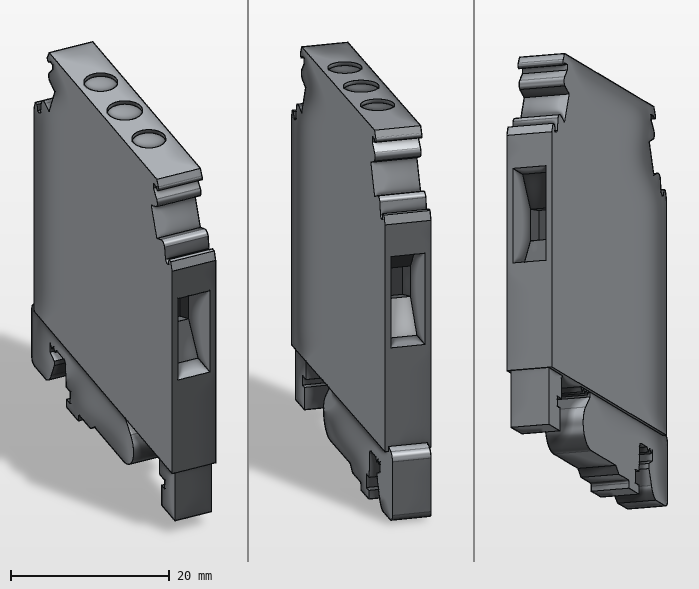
import cadquery as cq
import math


housing_width = 41.6
housing_thick = 6.05
housing_height = 41.5
half_width = housing_width / 2
shoulder_z = 30.4

foot_thick = 5.1
foot_overhang = 1.7
foot_left = -half_width - foot_overhang
foot_depth = 9.4
hook_depth = 8.9
hook_corner = 0.9
foot_root = 0.65
gap_roof_z = -2.7
gap_tooth_z = -3.25
lobe_radius = 3.05
lobe_x = 5.1
lobe_z = -4.45
lobe_neck_z = -0.6
tooth_count = 3
first_tooth_x = 6.05
tooth_width = 0.95
tooth_height = 0.55

post_inset = 0.2
post_right = half_width - post_inset
post_depth = 7.35

screw_pitch = 7.25
middle_screw_diameter = 4.5
outer_screw_diameter = 4.3
screw_recess_depth = 0.5

entry_width = 4.45
entry_bottom = 13.85
entry_height = 12.2
entry_straight_depth = 3.55
ramp_depth = 2.85
throat_height = 4.05
throat_width = 2.95
throat_taper_depth = 1.0
throat_rise = 0.15


def extrude_mid(profile, thickness):
    """Extrude an XZ outline equally to both sides of the mid-plane."""
    return profile.extrude(thickness / 2, both=True)


def housing():
    """Housing plate: its right-hand edge, with the latching notches, is mirrored to the left."""
    half = (
        cq.Workplane("XZ")
        .lineTo(half_width, 0)
        .lineTo(half_width, shoulder_z)
        .lineTo(20.35, 31.55)
        .lineTo(19.8, 31.55)
        .lineTo(19.65, 30.75)
        .threePointArc((19.15, 30.7), (18.8, 31.0))
        .lineTo(18.55, 32.7)
        .threePointArc((18.1, 33.15), (17.4, 33.15))
        .lineTo(16.2, 32.65)
        .lineTo(14.5, 36.6)
        .lineTo(16.1, 37.3)
        .threePointArc((16.35, 37.85), (16.15, 38.5))
        .lineTo(15.15, 39.55)
        .lineTo(15.15, 40.25)
        .lineTo(16.0, 40.25)
        .lineTo(16.3, 39.95)
        .threePointArc((16.6, 40.0), (16.65, 40.65))
        .lineTo(16.2, housing_height)
        .lineTo(0, housing_height)
        .close()
    )
    right_half = extrude_mid(half, housing_thick)
    return right_half.union(right_half.mirror("YZ"))


def foot():
    """Hooked foot with the rail gap on the left and the spring lobe on the right."""
    corner_offset = hook_corner * (1 - math.sqrt(0.5))
    lobe_bottom = lobe_z - lobe_radius
    lobe_diagonal = lobe_radius * math.sqrt(0.5)
    lobe_neck_x = lobe_x + 2 * lobe_diagonal - (lobe_neck_z - lobe_z)
    outline = (
        cq.Workplane("XZ")
        .moveTo(-half_width, foot_root)
        .lineTo(foot_left + 0.7, 0.3)
        .threePointArc((foot_left + 0.2, -0.15), (foot_left, -0.8))
        .lineTo(foot_left, hook_corner - hook_depth)
        .threePointArc(
            (foot_left + corner_offset, corner_offset - hook_depth),
            (foot_left + hook_corner, -hook_depth),
        )
        .lineTo(-18.1, -hook_depth)
        .threePointArc((-17.25, -8.4), (-16.6, -7.35))
        .lineTo(-15.7, -5.35)
        .lineTo(-15.7, -4.7)
        .lineTo(-16.95, -4.05)
        .lineTo(-16.95, gap_roof_z)
        .lineTo(-16.45, gap_tooth_z)
        .lineTo(-16.0, gap_roof_z)
        .lineTo(-15.5, gap_tooth_z)
        .lineTo(-15.0, gap_roof_z)
        .lineTo(-12.85, gap_roof_z)
        .threePointArc((-12.45, -2.85), (-12.3, -3.2))
        .lineTo(-12.1, -6.45)
        .lineTo(-10.9, -6.45)
        .lineTo(-10.9, -8.25)
        .lineTo(-12.0, -8.25)
        .lineTo(-12.0, -foot_depth)
        .lineTo(-8.45, -foot_depth)
        .lineTo(-8.45, -8.75)
        .threePointArc((-8.35, -8.5), (-8.1, -8.4))
        .lineTo(-4.8, -8.4)
        .lineTo(-3.65, lobe_bottom)
        .lineTo(lobe_x, lobe_bottom)
        .threePointArc(
            (lobe_x + lobe_radius, lobe_z),
            (lobe_x + lobe_diagonal, lobe_z + lobe_diagonal),
        )
        .lineTo(lobe_neck_x, lobe_neck_z)
        .lineTo(lobe_neck_x, foot_root)
        .close()
    )
    return extrude_mid(outline, foot_thick)


def underside_teeth():
    """Small teeth under the housing, just right of the lobe."""
    outline = cq.Workplane("XZ").moveTo(first_tooth_x, 0)
    for index in range(tooth_count):
        start = first_tooth_x + index * tooth_width
        outline = outline.lineTo(start + tooth_width / 2, -tooth_height)
        outline = outline.lineTo(start + tooth_width, 0)
    outline = outline.lineTo(first_tooth_x + tooth_count * tooth_width, foot_root)
    outline = outline.lineTo(first_tooth_x, foot_root).close()
    return extrude_mid(outline, foot_thick)


def post():
    """Post at the right end that grips the other edge of the rail."""
    outline = (
        cq.Workplane("XZ")
        .moveTo(15.6, foot_root)
        .lineTo(15.6, 0)
        .lineTo(15.95, -0.35)
        .lineTo(15.95, -3.05)
        .lineTo(17.5, -3.05)
        .lineTo(17.5, -4.35)
        .lineTo(16.6, -4.35)
        .lineTo(16.6, -post_depth)
        .lineTo(post_right, -post_depth)
        .lineTo(post_right, foot_root)
        .close()
    )
    return extrude_mid(outline, foot_thick)


def screw_recess(x, diameter):
    """Shallow round recess in the top face."""
    return (
        cq.Workplane("XY", origin=(x, 0, housing_height - screw_recess_depth))
        .circle(diameter / 2)
        .extrude(screw_recess_depth)
    )


def wire_entry():
    """Wire entry in the left end: straight mouth, ramps above and below, then a tapered throat."""
    middle_z = entry_bottom + entry_height / 2 + throat_rise
    ramp_start = entry_straight_depth - half_width
    ramp_end = ramp_start + ramp_depth
    mouth = (
        cq.Workplane("XZ")
        .moveTo(-half_width, entry_bottom)
        .lineTo(ramp_start, entry_bottom)
        .lineTo(ramp_end, middle_z - throat_height / 2)
        .lineTo(ramp_end, middle_z + throat_height / 2)
        .lineTo(ramp_start, entry_bottom + entry_height)
        .lineTo(-half_width, entry_bottom + entry_height)
        .close()
    )
    throat = (
        cq.Workplane("XY", origin=(0, 0, middle_z))
        .moveTo(ramp_end, -entry_width / 2)
        .lineTo(ramp_end + throat_taper_depth, -throat_width / 2)
        .lineTo(ramp_end + throat_taper_depth, throat_width / 2)
        .lineTo(ramp_end, entry_width / 2)
        .close()
        .extrude(throat_height / 2, both=True)
    )
    return extrude_mid(mouth, entry_width).union(throat)


result = housing().union(foot()).union(underside_teeth()).union(post())

result = result.cut(screw_recess(0, middle_screw_diameter))
for side in (-1, 1):
    result = result.cut(screw_recess(side * screw_pitch, outer_screw_diameter))

left_entry = wire_entry()
result = result.cut(left_entry).cut(left_entry.mirror("YZ"))